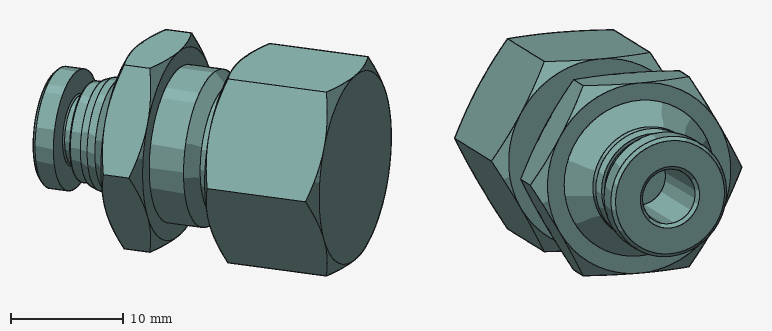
import cadquery as cq
import math

TOTAL_LENGTH = 28.9

HEX_ACROSS_FLATS = 17.45
HEX_CORNER_ANGLE = 30.0
NUT_START = 7.92
NUT_END = 11.95
HEX_END_START = 17.9

FLANGE_DIAMETER = 11.0
FLANGE_END = 2.08
FLANGE_CHAMFER = 0.32
NECK_DIAMETER = 6.3
NECK_CHAMFER = 0.15
BORE_DIAMETER = 5.0
BORE_CHAMFER = 0.32
SLEEVE_END = 7.92

COLLAR_DIAMETER = 9.2
COLLAR_START = 3.25
COLLAR_CHAMFER = 0.12
COLLAR_END = 4.42
TAPER_DIAMETER = 9.75
TAPER_END = 5.17
SHOULDER_DIAMETER = 10.3
BARREL_DIAMETER = 14.28
BARREL_END = 15.23
WAIST_DIAMETER = 12.0

CONE_START = NUT_START - (BARREL_DIAMETER - SHOULDER_DIAMETER) / 2
WAIST_START = BARREL_END + (BARREL_DIAMETER - WAIST_DIAMETER) / 2


def revolve_about_x(points):
    """Solid of revolution about X from (station, radius) points."""
    return cq.Workplane("XY").polyline(points).close().revolve(360, (0, 0, 0), (1, 0, 0))


def cylinder(diameter, start, end):
    return cq.Workplane("YZ", origin=(start, 0, 0)).circle(diameter / 2).extrude(end - start)


def chamfered_hex(start, end):
    """Hexagonal prism along X, its corners cut by a cone at each end."""
    corner_diameter = HEX_ACROSS_FLATS / math.cos(math.pi / 6)
    flat_radius = HEX_ACROSS_FLATS / 2
    corner_radius = corner_diameter / 2
    cut_depth = (corner_radius - flat_radius) * math.tan(math.radians(HEX_CORNER_ANGLE))
    prism = cq.Workplane("YZ", origin=(start, 0, 0)).polygon(6, corner_diameter).extrude(end - start)
    envelope = revolve_about_x([
        (start, 0),
        (start, flat_radius),
        (start + cut_depth, corner_radius),
        (end - cut_depth, corner_radius),
        (end, flat_radius),
        (end, 0),
    ])
    return prism.intersect(envelope)


def make_sleeve():
    """Flanged tube with a chamfered bore mouth and a small chamfer at the neck root."""
    flange_radius = FLANGE_DIAMETER / 2
    neck_radius = NECK_DIAMETER / 2
    bore_radius = BORE_DIAMETER / 2
    return revolve_about_x([
        (0, bore_radius + BORE_CHAMFER),
        (0, flange_radius - FLANGE_CHAMFER),
        (FLANGE_CHAMFER, flange_radius),
        (FLANGE_END, flange_radius),
        (FLANGE_END, neck_radius + NECK_CHAMFER),
        (FLANGE_END + NECK_CHAMFER, neck_radius),
        (SLEEVE_END, neck_radius),
        (SLEEVE_END, bore_radius),
        (BORE_CHAMFER, bore_radius),
    ])


def make_body():
    """Stepped turned body with a hex end and a blind socket that seats the sleeve."""
    collar_radius = COLLAR_DIAMETER / 2
    turned = revolve_about_x([
        (COLLAR_START, 0),
        (COLLAR_START, collar_radius - COLLAR_CHAMFER),
        (COLLAR_START + COLLAR_CHAMFER, collar_radius),
        (COLLAR_END, collar_radius),
        (COLLAR_END, TAPER_DIAMETER / 2),
        (TAPER_END, SHOULDER_DIAMETER / 2),
        (CONE_START, SHOULDER_DIAMETER / 2),
        (NUT_START, BARREL_DIAMETER / 2),
        (BARREL_END, BARREL_DIAMETER / 2),
        (WAIST_START, WAIST_DIAMETER / 2),
        (HEX_END_START, WAIST_DIAMETER / 2),
        (HEX_END_START, 0),
    ])
    hex_end = chamfered_hex(HEX_END_START, TOTAL_LENGTH)
    socket = cylinder(NECK_DIAMETER, COLLAR_START, SLEEVE_END)
    return turned.union(hex_end).cut(socket)


def make_nut():
    """Hexagonal lock nut that fits around the barrel."""
    return chamfered_hex(NUT_START, NUT_END).cut(cylinder(BARREL_DIAMETER, NUT_START, NUT_END))


sleeve = make_sleeve()
body = make_body()
nut = make_nut()

result = cq.Compound.makeCompound([sleeve.val(), body.val(), nut.val()])